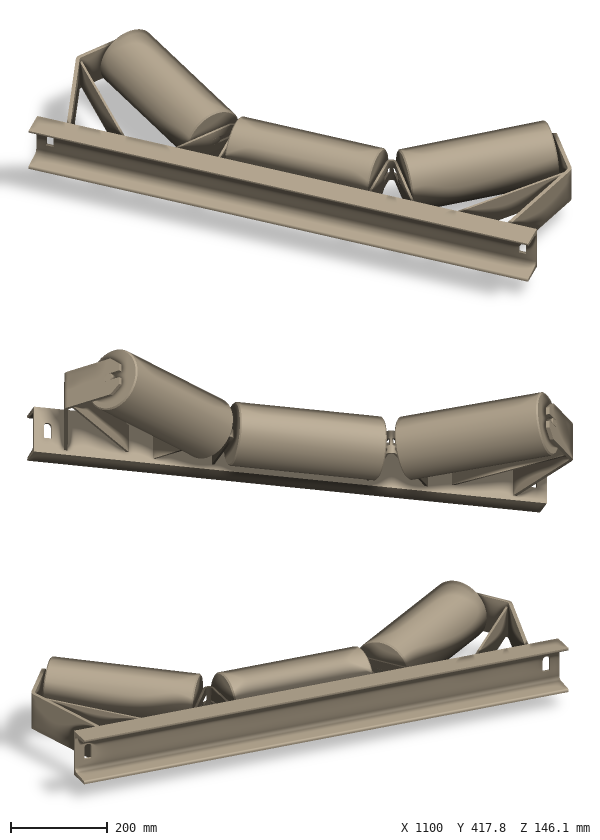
import cadquery as cq
import math


beam_length = 1100.0
beam_height = 100.0
flange_width = 53.0
web_thickness = 6.0
flange_mid_thickness = 8.5
flange_slope = 0.08
root_radius = 8.5
tip_radius = 4.5
mount_slot_width = 16.5
mount_slot_height = 34.0
mount_slot_end_distance = 29.5

roller_radius = 66.5
roller_length = 315.0
roller_chamfer = 3.0
shaft_radius = 10.0
shaft_flat_width = 15.0
flat_run_in = 1.0
trough_angle = math.radians(35)
forward_tilt = math.radians(2.4)
center_roller_y = 117.0
center_roller_z = -13.95
overall_depth = 417.8
side_roller_top_y = overall_depth - flange_width
side_roller_outer_x = -468.0
side_roller_outer_z = -0.65
roller_gap = 6.0

outer_thickness = 8.0
outer_height = 80.0
outer_bend_radius = 10.0
outer_base_x = -486.0
outer_leg_angle = math.radians(75)
outer_tip_reach = 31.0
tip_chamfer_length = 24.0
tip_chamfer_height = 17.5

inner_thickness = 5.0
inner_height = 50.0
inner_bend_radius = 7.0

strut_thickness = 5.0
strut_height = 60.0
strut_base_x = -353.0

along_x = cq.Vector(1, 0, 0)
along_y = cq.Vector(0, 1, 0)
along_z = cq.Vector(0, 0, 1)
axis_out = cq.Vector(-math.cos(trough_angle), math.sin(trough_angle), 0)
leg_up = cq.Vector(math.sin(trough_angle), math.cos(trough_angle), 0)
tilted_axis = axis_out * math.cos(forward_tilt) + along_z * math.sin(forward_tilt)

side_roller_outer_y = (
    side_roller_top_y - roller_radius * math.cos(trough_angle) + roller_chamfer * math.sin(trough_angle)
)
side_outer_end = cq.Vector(side_roller_outer_x, side_roller_outer_y, side_roller_outer_z)
side_inner_end = side_outer_end - tilted_axis * roller_length
center_outer_end = cq.Vector(-roller_length / 2, center_roller_y, center_roller_z)

outer_grip = roller_gap + outer_thickness
inner_grip = roller_gap + inner_thickness


def crossing(point_a, direction_a, point_b, direction_b):
    """Point in the XY plane where two lines cross."""
    across = cq.Vector(-direction_b.y, direction_b.x, 0)
    offset = point_b - point_a
    return point_a + direction_a * (offset.dot(across) / direction_a.dot(across))


def upright_strip(corners, height, mid_z):
    """Prism along Z whose plan outline runs through the corners."""
    outline = [(corner.x, corner.y) for corner in corners]
    bottom = cq.Workplane("XY").workplane(offset=mid_z - height / 2)
    return bottom.polyline(outline).close().extrude(height)


def round_bend(strip, inside_corner, outside_corner, inside_radius, thickness):
    """Rounds the two upright edges of a bend about one centre."""
    corner_radii = ((inside_corner, inside_radius), (outside_corner, inside_radius + thickness))
    for corner, radius in corner_radii:
        strip = strip.edges("|Z").edges(cq.selectors.NearestToPointSelector((corner.x, corner.y, 0)))
        strip = strip.fillet(radius)
    return strip


def make_beam():
    half_height = beam_height / 2
    slope_rise = flange_slope * flange_width / 2
    tip_z = half_height - flange_mid_thickness + slope_rise
    root_z = tip_z - flange_slope * (flange_width - web_thickness)
    beam = (
        cq.Workplane("YZ")
        .moveTo(0, half_height)
        .lineTo(-flange_width, half_height)
        .lineTo(-flange_width, tip_z)
        .lineTo(-web_thickness, root_z)
        .lineTo(-web_thickness, -root_z)
        .lineTo(-flange_width, -tip_z)
        .lineTo(-flange_width, -half_height)
        .lineTo(0, -half_height)
        .close()
        .extrude(beam_length / 2, both=True)
    )
    for edge_y, edge_z, radius in (
        (-web_thickness, root_z, root_radius),
        (-flange_width, tip_z, tip_radius),
    ):
        for side in (1, -1):
            corner = cq.selectors.NearestToPointSelector((0, edge_y, side * edge_z))
            beam = beam.edges("|X").edges(corner).fillet(radius)
    slot_x = beam_length / 2 - mount_slot_end_distance
    half_width = mount_slot_width / 2
    arch_spring_z = mount_slot_height / 2 - half_width
    for center_x in (-slot_x, slot_x):
        slot = (
            cq.Workplane("XZ")
            .moveTo(center_x - half_width, -mount_slot_height / 2)
            .lineTo(center_x - half_width, arch_spring_z)
            .threePointArc((center_x, mount_slot_height / 2), (center_x + half_width, arch_spring_z))
            .lineTo(center_x + half_width, -mount_slot_height / 2)
            .close()
            .extrude(web_thickness)
        )
        beam = beam.cut(slot)
    return beam


def flat_cutter(end, axis, slot_direction, grip):
    """Cuts two flats on a shaft end, from just inside the roller gap to the far bracket face."""
    start = roller_gap - flat_run_in
    plane = cq.Plane(origin=end + axis * start, xDir=slot_direction, normal=axis)
    clear_width = 3 * shaft_radius
    surround = cq.Workplane(plane).rect(clear_width, clear_width).extrude(grip - start)
    kept_core = cq.Workplane(plane).rect(clear_width, shaft_flat_width).extrude(grip - start)
    return surround.cut(kept_core)


def shaft_slot(end, axis, slot_direction, grip, length):
    """Cutter for the round-ended slot that a flatted shaft end drops into."""
    start = roller_gap - flat_run_in
    depth = grip + flat_run_in - start
    plane = cq.Plane(origin=end + axis * start, xDir=slot_direction, normal=axis)
    seat = cq.Workplane(plane).circle(shaft_radius).extrude(depth)
    flats = cq.Workplane(plane).rect(2 * shaft_radius, shaft_flat_width).extrude(depth)
    opening = cq.Workplane(plane).center(length / 2, 0).rect(length, shaft_flat_width).extrude(depth)
    return seat.intersect(flats).union(opening)


def make_roller(outer_end, axis, slot_direction, outer_reach, inner_reach):
    """Roller from its outer end back along its axis, with chamfered rims and shaft ends."""
    inner_end = outer_end - axis * roller_length
    plane = cq.Plane(origin=outer_end, xDir=axis * -1, normal=slot_direction.cross(axis))
    rim = roller_radius - roller_chamfer
    roller = (
        cq.Workplane(plane)
        .moveTo(-outer_reach, 0)
        .lineTo(-outer_reach, shaft_radius)
        .lineTo(0, shaft_radius)
        .lineTo(0, rim)
        .lineTo(roller_chamfer, roller_radius)
        .lineTo(roller_length - roller_chamfer, roller_radius)
        .lineTo(roller_length, rim)
        .lineTo(roller_length, shaft_radius)
        .lineTo(roller_length + inner_reach, shaft_radius)
        .lineTo(roller_length + inner_reach, 0)
        .close()
        .revolve(360, (0, 0), (1, 0))
    )
    roller = roller.cut(flat_cutter(outer_end, axis, slot_direction, outer_reach))
    return roller.cut(flat_cutter(inner_end, axis * -1, slot_direction, inner_reach))


lower_leg_up = cq.Vector(-math.cos(outer_leg_angle), math.sin(outer_leg_angle), 0)
roller_end_level = cq.Vector(side_outer_end.x, side_outer_end.y, 0)
outer_near_point = roller_end_level + axis_out * roller_gap
outer_far_point = roller_end_level + axis_out * outer_grip
outer_base_far = along_x * outer_base_x
outer_base_near = outer_base_far + along_x * (outer_thickness / math.sin(outer_leg_angle))
outer_bend_far = crossing(outer_far_point, leg_up, outer_base_far, lower_leg_up)
outer_bend_near = crossing(outer_near_point, leg_up, outer_base_near, lower_leg_up)


def make_outer_bracket():
    tip_near = outer_near_point + leg_up * outer_tip_reach
    tip_far = outer_far_point + leg_up * outer_tip_reach
    corners = [outer_base_far, outer_bend_far, tip_far, tip_near, outer_bend_near, outer_base_near]
    bracket = upright_strip(corners, outer_height, 0)
    bracket = round_bend(bracket, outer_bend_near, outer_bend_far, outer_bend_radius, outer_thickness)
    tip_plane = cq.Plane(origin=tip_near, xDir=leg_up, normal=axis_out)
    for side in (1, -1):
        corner_cut = (
            cq.Workplane(tip_plane)
            .moveTo(0, side * outer_height / 2)
            .lineTo(-tip_chamfer_length, side * outer_height / 2)
            .lineTo(0, side * (outer_height / 2 - tip_chamfer_height))
            .close()
            .extrude(outer_thickness)
        )
        bracket = bracket.cut(corner_cut)
    return bracket.cut(shaft_slot(side_outer_end, tilted_axis, leg_up, outer_grip, 2 * outer_tip_reach))


def make_inner_bracket():
    leg_near = side_inner_end - axis_out * roller_gap
    leg_far = side_inner_end - axis_out * inner_grip
    post_near = center_outer_end - along_x * roller_gap
    post_far = center_outer_end - along_x * inner_grip
    origin = cq.Vector(0, 0, 0)
    fold_outside = crossing(leg_near, leg_up, post_near, along_y)
    fold_inside = crossing(leg_far, leg_up, post_far, along_y)
    corners = [
        crossing(leg_near, leg_up, origin, along_x),
        fold_outside,
        cq.Vector(post_near.x, 0, 0),
        cq.Vector(post_far.x, 0, 0),
        fold_inside,
        crossing(leg_far, leg_up, origin, along_x),
    ]
    bracket = upright_strip(corners, inner_height, center_roller_z)
    bracket = round_bend(bracket, fold_inside, fold_outside, inner_bend_radius, inner_thickness)
    slot_length = fold_outside.y - center_roller_y
    side_slot = shaft_slot(side_inner_end, tilted_axis * -1, leg_up, inner_grip, slot_length)
    center_slot = shaft_slot(center_outer_end, along_x * -1, along_y, inner_grip, slot_length)
    return bracket.cut(side_slot).cut(center_slot)


def make_strut(bracket):
    base = along_x * strut_base_x
    run = (outer_bend_near - base).normalized()
    base_inward = base + along_x * (strut_thickness / run.y)
    leg_middle = (outer_near_point + outer_far_point) * 0.5
    corners = [
        base,
        base_inward,
        crossing(base_inward, run, leg_middle, leg_up),
        crossing(base, run, leg_middle, leg_up),
    ]
    return upright_strip(corners, strut_height, 0).cut(bracket)


beam = make_beam()
outer_bracket = make_outer_bracket()
inner_bracket = make_inner_bracket()
strut = make_strut(outer_bracket)
side_roller = make_roller(side_outer_end, tilted_axis, leg_up, outer_grip, inner_grip)
center_roller = make_roller(center_outer_end, along_x * -1, along_y, inner_grip, inner_grip)

bodies = [*beam.solids().vals(), *center_roller.solids().vals()]
for body in (side_roller, outer_bracket, inner_bracket, strut):
    bodies.extend(body.solids().vals())
    bodies.extend(body.mirror("YZ").solids().vals())

result = cq.Compound.makeCompound(bodies)